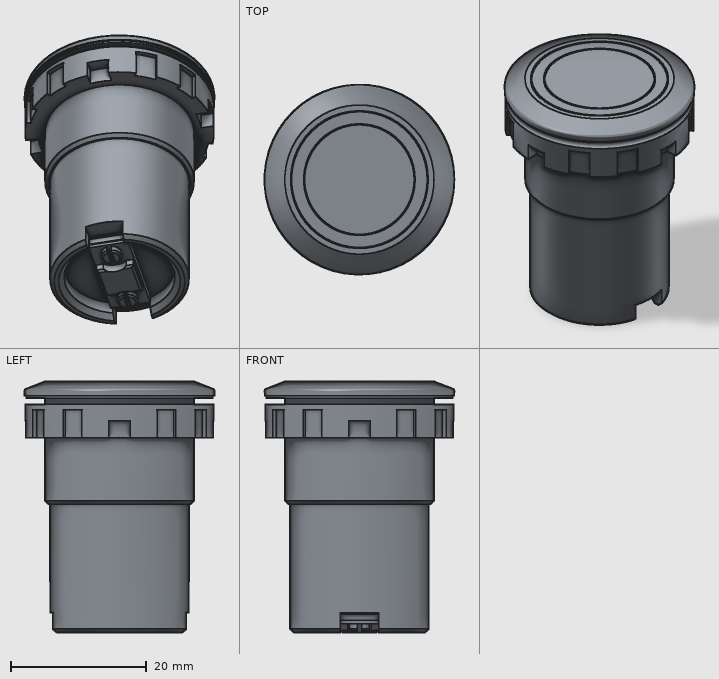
import cadquery as cq
import math

TOTAL_HEIGHT = 37.0

HEAD_RADIUS = 28.0 / 2
HEAD_TOP_RADIUS = 11.0
BEVEL_EDGE_RADIUS = 13.7
BEVEL_BOTTOM = 35.95
HEAD_ROUND_BOTTOM = 35.45
FLANGE_BOTTOM = 34.93
LIP_RADIUS = 13.75
LIP_BOTTOM = 34.55

RING_RADII = (8.2, 10.15)
RING_WIDTH = 0.15
RING_DEPTH = 0.2

BARREL_RADIUS = 11.0
BARREL_BOTTOM = 18.95
BARREL_CHAMFER = 0.5
SLEEVE_RADIUS = 10.25
SLEEVE_CHAMFER_WIDTH = 0.63
SLEEVE_CHAMFER_HEIGHT = 0.55

CAVITY_RADIUS = 8.15
CAVITY_CEILING = 2.75
CAVITY_MOUTH_CHAMFER = 0.8
SLOT_WIDTH = 5.62
SLOT_HEIGHT = 2.95
SLOT_INNER_Y = 7.6

PLATE_WIDTH = 5.92
UPPER_PLATE_Y = 7.2
UPPER_PLATE_BOTTOM = 1.8
LOWER_PLATE_Y = 7.03
LOWER_PLATE_BOTTOM = 1.3
BLOCK_WIDTH = 5.62
BLOCK_CHAMFER = 0.35
SCREW_Y = 5.18
SCREW_RADIUS = 1.48
SCREW_BOTTOM = 0.3
SCREW_CHAMFER = 0.25
SCREW_SLOT_WIDTH = 0.65
RECESS_RADIUS = 2.8
RECESS_OPENING = 3.48

NUT_RADIUS = 13.9
NUT_BOTTOM = 28.7
NUT_TOP = 33.65
NOTCH_COUNT = 12
NOTCHES_PER_QUARTER = NOTCH_COUNT // 4
NOTCH_WIDTH = 3.2
TALL_NOTCH_TOP = 32.85
TALL_NOTCH_FLOOR_RADIUS = 13.3
SHORT_NOTCH_TOP = 31.2
SHORT_NOTCH_FLOOR_RADIUS = 12.05


def cylinder(radius, bottom, top):
    """Upright cylinder on the Z axis."""
    return cq.Workplane("XY").workplane(offset=bottom).circle(radius).extrude(top - bottom)


def ring(inner_radius, outer_radius, bottom, top):
    """Upright ring on the Z axis."""
    profile = cq.Workplane("XY").workplane(offset=bottom).circle(outer_radius).circle(inner_radius)
    return profile.extrude(top - bottom)


def centred_box(width, depth, bottom, top):
    """Box centred on the Z axis."""
    return cq.Workplane("XY").workplane(offset=bottom).rect(width, depth).extrude(top - bottom)


def turned_housing():
    """Solid of revolution carrying the head, barrel and sleeve."""
    diagonal = math.sqrt(0.5)
    round_mid = (
        BEVEL_EDGE_RADIUS + (HEAD_RADIUS - BEVEL_EDGE_RADIUS) * diagonal,
        HEAD_ROUND_BOTTOM + (BEVEL_BOTTOM - HEAD_ROUND_BOTTOM) * diagonal,
    )
    profile = (
        cq.Workplane("XZ")
        .moveTo(0, 0)
        .lineTo(SLEEVE_RADIUS - SLEEVE_CHAMFER_WIDTH, 0)
        .lineTo(SLEEVE_RADIUS, SLEEVE_CHAMFER_HEIGHT)
        .lineTo(SLEEVE_RADIUS, BARREL_BOTTOM)
        .lineTo(BARREL_RADIUS - BARREL_CHAMFER, BARREL_BOTTOM)
        .lineTo(BARREL_RADIUS, BARREL_BOTTOM + BARREL_CHAMFER)
        .lineTo(BARREL_RADIUS, LIP_BOTTOM)
        .lineTo(LIP_RADIUS, LIP_BOTTOM)
        .lineTo(LIP_RADIUS, FLANGE_BOTTOM)
        .lineTo(HEAD_RADIUS, FLANGE_BOTTOM)
        .lineTo(HEAD_RADIUS, HEAD_ROUND_BOTTOM)
        .threePointArc(round_mid, (BEVEL_EDGE_RADIUS, BEVEL_BOTTOM))
        .lineTo(HEAD_TOP_RADIUS, TOTAL_HEIGHT)
        .lineTo(0, TOTAL_HEIGHT)
        .close()
    )
    return profile.revolve(360, (0, 0, 0), (0, 1, 0))


def bottom_cavity():
    """Round cavity whose mouth widens in a chamfer."""
    profile = (
        cq.Workplane("XZ")
        .moveTo(0, 0)
        .lineTo(CAVITY_RADIUS + CAVITY_MOUTH_CHAMFER, 0)
        .lineTo(CAVITY_RADIUS, CAVITY_MOUTH_CHAMFER)
        .lineTo(CAVITY_RADIUS, CAVITY_CEILING)
        .lineTo(0, CAVITY_CEILING)
        .close()
    )
    return profile.revolve(360, (0, 0, 0), (0, 1, 0))


def wall_slot(side):
    """Rectangular slot through the sleeve wall; side is -1 or +1 along Y."""
    radial_depth = SLEEVE_RADIUS - SLOT_INNER_Y
    slot_y = side * (SLOT_INNER_Y + radial_depth / 2)
    return centred_box(SLOT_WIDTH, radial_depth, 0, SLOT_HEIGHT).translate((0, slot_y, 0))


def terminal_screw(side):
    """Round screw with a chamfered end and a driver slot along Y."""
    screw = cylinder(SCREW_RADIUS, SCREW_BOTTOM, LOWER_PLATE_BOTTOM).faces("<Z").chamfer(SCREW_CHAMFER)
    driver_slot = centred_box(SCREW_SLOT_WIDTH, 2 * SCREW_RADIUS, SCREW_BOTTOM, LOWER_PLATE_BOTTOM)
    return screw.cut(driver_slot).translate((0, side * SCREW_Y, 0))


def terminal_block():
    """Stepped plates, recessed block and screws, all joined to the housing."""
    face_to_screw = math.sqrt(RECESS_RADIUS**2 - (RECESS_OPENING / 2) ** 2)
    block_depth = 2 * (SCREW_Y - face_to_screw)
    block = centred_box(BLOCK_WIDTH, block_depth, 0, LOWER_PLATE_BOTTOM).faces("<Z").chamfer(BLOCK_CHAMFER)
    upper_plate = centred_box(PLATE_WIDTH, 2 * UPPER_PLATE_Y, UPPER_PLATE_BOTTOM, CAVITY_CEILING)
    lower_plate = centred_box(PLATE_WIDTH, 2 * LOWER_PLATE_Y, LOWER_PLATE_BOTTOM, UPPER_PLATE_BOTTOM)
    for side in (-1, 1):
        recess = cylinder(RECESS_RADIUS, 0, LOWER_PLATE_BOTTOM).translate((0, side * SCREW_Y, 0))
        block = block.cut(recess)
    terminals = upper_plate.union(lower_plate).union(block)
    for side in (-1, 1):
        terminals = terminals.union(terminal_screw(side))
    return terminals


def make_housing():
    housing = turned_housing()
    for radius in RING_RADII:
        groove = ring(radius - RING_WIDTH, radius, TOTAL_HEIGHT - RING_DEPTH, TOTAL_HEIGHT)
        housing = housing.cut(groove)
    housing = housing.cut(bottom_cavity())
    for side in (-1, 1):
        housing = housing.cut(wall_slot(side))
    return housing.union(terminal_block())


def nut_notch(angle, floor_radius, top):
    """Notch open at the nut's rim and underside, with a round floor."""
    notch = (
        cq.Workplane("XY")
        .workplane(offset=NUT_BOTTOM)
        .center(NUT_RADIUS / 2, 0)
        .rect(NUT_RADIUS, NOTCH_WIDTH)
        .extrude(top - NUT_BOTTOM)
    )
    return notch.cut(cylinder(floor_radius, NUT_BOTTOM, top)).rotate((0, 0, 0), (0, 0, 1), angle)


def make_nut():
    nut = ring(BARREL_RADIUS, NUT_RADIUS, NUT_BOTTOM, NUT_TOP)
    for index in range(NOTCH_COUNT):
        angle = index * 360 / NOTCH_COUNT
        if index % NOTCHES_PER_QUARTER == 0:
            notch = nut_notch(angle, SHORT_NOTCH_FLOOR_RADIUS, SHORT_NOTCH_TOP)
        else:
            notch = nut_notch(angle, TALL_NOTCH_FLOOR_RADIUS, TALL_NOTCH_TOP)
        nut = nut.cut(notch)
    return nut


housing = make_housing()
nut = make_nut()

result = cq.Compound.makeCompound([housing.val(), nut.val()])